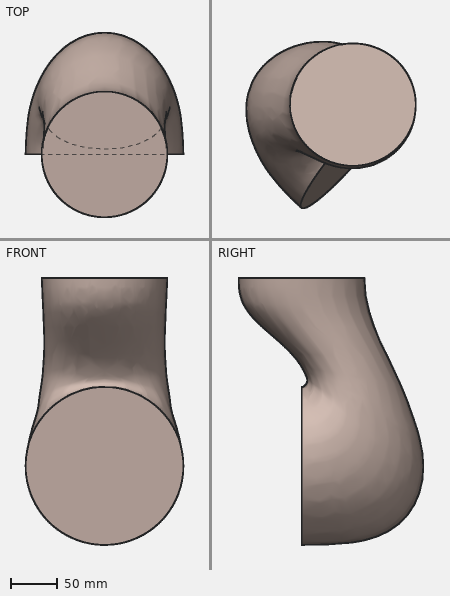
import cadquery as cq
import math

MOUTH_RADIUS = 85.5
NECK_RADIUS = 68.1
NECK_HEIGHT = 203.5
POINTS_PER_SECTION = 24

SECTIONS = [
    ((68.0, 200.5), (-68.1, 200.5), 68.0, 0.0),
    ((72.5, 170.0), (-60.0, 170.0), 66.5, 0.0),
    ((83.0, 140.0), (-30.0, 139.5), 65.5, 0.03),
    ((105.0, 93.0), (-1.0, 109.0), 66.7, 0.1),
    ((125.0, 40.0), (5.5, 96.0), 70.8, 0.15),
    ((130.3, -18.0), (5.8, 91.0), 74.8, 0.18),
    ((103.0, -64.5), (4.5, 88.2), 80.8, 0.14),
    ((50.0, -83.5), (2.3, 86.2), 84.3, 0.05),
    ((3.0, -85.5), (0.15, 85.5), 85.5, 0.0),
]


def section_wire(back, throat, half_width, bias=0.0):
    """Closed egg-shaped curve spanning from the throat point to the back point."""
    points = []
    for i in range(POINTS_PER_SECTION):
        angle = 2 * math.pi * i / POINTS_PER_SECTION
        depth = -math.cos(angle) - bias * math.sin(angle) ** 2
        back_share = (1 + depth) / 2
        y = throat[0] + (back[0] - throat[0]) * back_share
        z = throat[1] + (back[1] - throat[1]) * back_share
        points.append(cq.Vector(half_width * math.sin(angle), y, z))
    return cq.Wire.assembleEdges([cq.Edge.makeSpline(points, periodic=True)])


def elbow():
    """Smooth loft from the neck circle, around the bend, to the mouth circle."""
    neck = section_wire((NECK_RADIUS, NECK_HEIGHT), (-NECK_RADIUS, NECK_HEIGHT), NECK_RADIUS)
    mouth = section_wire((0, -MOUTH_RADIUS), (0, MOUTH_RADIUS), MOUTH_RADIUS)
    bend = [section_wire(*section) for section in SECTIONS]
    return cq.Solid.makeLoft([neck] + bend + [mouth])


result = cq.Workplane("XY").newObject([elbow()])